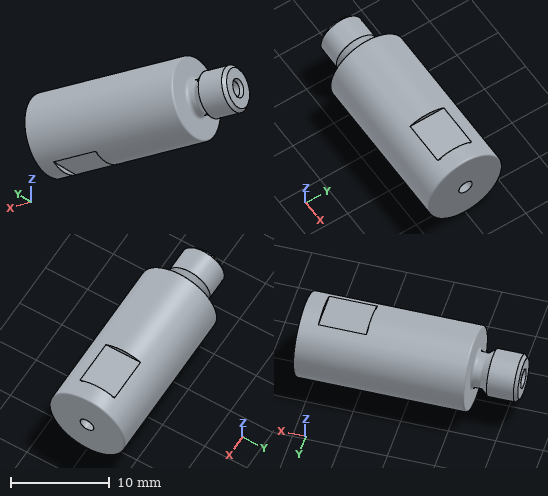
import cadquery as cq
import math

length = 23.0
body_radius = 9.0 / 2
body_start = 5.0
body_rounding = 0.2

spigot_radius = 2.5
spigot_end = 3.2
spigot_chamfer = 0.37
neck_radius = 1.86
cone_fillet = 0.3
face_fillet = 0.4
cone_angle = math.radians(39)
cone_length = (spigot_radius - neck_radius) / math.tan(cone_angle)

bore_radius = 0.8
mouth_radius = 1.01
mouth_half_angle = math.radians(30)
mouth_depth = (mouth_radius - bore_radius) / math.tan(mouth_half_angle)

flat_start = 15.96
flat_length = 5.04
flat_height = 4.0


def turned_body():
    """Solid of revolution: chamfered spigot, filleted neck and rounded body."""
    neck_start = spigot_end + cone_length
    tangent = cone_fillet * math.tan(cone_angle / 2)
    cone_tangent_point = (
        neck_start - tangent * math.cos(cone_angle),
        neck_radius + tangent * math.sin(cone_angle),
    )
    half_angle = cone_angle / 2
    cone_arc_middle = (
        neck_start + tangent - cone_fillet * math.sin(half_angle),
        neck_radius + cone_fillet * (1 - math.cos(half_angle)),
    )
    quarter_middle = face_fillet * math.sqrt(0.5)
    body_arc_middle = (
        body_start - face_fillet + quarter_middle,
        neck_radius + face_fillet - quarter_middle,
    )
    rounding_inset = body_rounding * (1 - math.sqrt(0.5))
    rounding_middle_radius = body_radius - rounding_inset
    profile = (
        cq.Workplane("XY")
        .moveTo(0, 0)
        .lineTo(0, spigot_radius - spigot_chamfer)
        .lineTo(spigot_chamfer, spigot_radius)
        .lineTo(spigot_end, spigot_radius)
        .lineTo(*cone_tangent_point)
        .threePointArc(cone_arc_middle, (neck_start + tangent, neck_radius))
        .lineTo(body_start - face_fillet, neck_radius)
        .threePointArc(body_arc_middle, (body_start, neck_radius + face_fillet))
        .lineTo(body_start, body_radius - body_rounding)
        .threePointArc(
            (body_start + rounding_inset, rounding_middle_radius),
            (body_start + body_rounding, body_radius),
        )
        .lineTo(length - body_rounding, body_radius)
        .threePointArc(
            (length - rounding_inset, rounding_middle_radius),
            (length, body_radius - body_rounding),
        )
        .lineTo(length, 0)
        .close()
    )
    return profile.revolve(360, (0, 0), (1, 0))


def bore():
    """Through bore, widened by a conical mouth at the spigot end."""
    profile = (
        cq.Workplane("XY")
        .moveTo(0, 0)
        .lineTo(0, mouth_radius)
        .lineTo(mouth_depth, bore_radius)
        .lineTo(length, bore_radius)
        .lineTo(length, 0)
        .close()
    )
    return profile.revolve(360, (0, 0), (1, 0))


def flat_cutter(side):
    """Block beyond one wrench flat; side is +1 above the axis, -1 below it."""
    return cq.Workplane("XY").box(
        flat_length, 2 * body_radius, body_radius
    ).translate((flat_start + flat_length / 2, 0, side * (flat_height + body_radius / 2)))


result = turned_body().cut(bore())
for side in (1, -1):
    result = result.cut(flat_cutter(side))